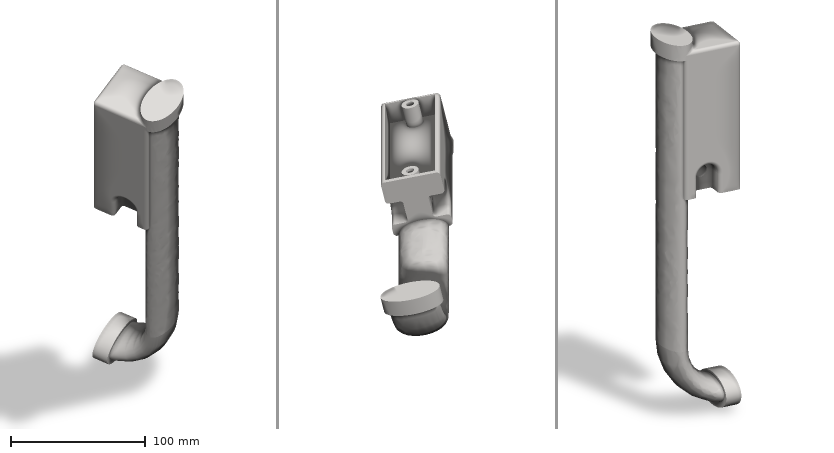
import cadquery as cq

total_height = 307.3
tube_x = 46.7
tube_half_depth = 18.7 / 2
tube_half_width = 19.0
bend_radius = 43.5

cap_half_depth = 13.2
cap_half_width = 45.2 / 2
cap_thickness = 12.5
cap_fillet_radius = 2.5
foot_z = cap_half_depth
bend_start_z = foot_z + bend_radius
cap_bottom = total_height - cap_thickness

housing_bottom = 181.3
housing_top = 301.0
housing_height = housing_top - housing_bottom
housing_width = 2 * cap_half_width
housing_depth = tube_x
edge_radius = 2.8
selection_margin = 0.3
wall = 3.7
cavity_depth = 17.0

post_radius = 6.5
post_hole_radius = 3.0
post_front_x = 0.0
post_heights = (191.7, 290.7)

recess_x = 27.7
recess_z = 197.0
recess_half_width = 9.2
recess_depth = 13.0
recess_floor_radius = 2.0
cable_hole_radius = 5.2


def make_tube():
    profile = cq.Workplane("XY", origin=(tube_x, 0, bend_start_z)).ellipse(tube_half_depth, tube_half_width)
    straight = profile.extrude(cap_bottom - bend_start_z)
    bend = (
        cq.Workplane("XY", origin=(tube_x, 0, bend_start_z))
        .ellipse(tube_half_depth, tube_half_width)
        .revolve(90, (-bend_radius, 0, 0), (-bend_radius, 1, 0))
    )
    return straight.union(bend)


def make_top_cap():
    plane = cq.Workplane("XY", origin=(tube_x, 0, cap_bottom))
    return plane.ellipse(cap_half_depth, cap_half_width).extrude(cap_thickness)


def make_foot_cap():
    plane = cq.Workplane("YZ", origin=(0, 0, foot_z))
    return plane.ellipse(cap_half_width, cap_half_depth).extrude(cap_thickness)


def make_block(bottom, top):
    """Plain block with the housing's plan between two heights."""
    plane = cq.Workplane("XY", origin=(0, 0, bottom))
    return plane.box(housing_depth, housing_width, top - bottom, centered=(False, True, False))


def make_housing():
    body = make_block(housing_bottom, housing_top)
    body = body.edges("(<X and |Z) or (>Z and (not >X))").fillet(edge_radius)
    lower = make_block(housing_bottom, cap_bottom).edges(">X and |Z").fillet(edge_radius)
    return body.intersect(lower.union(make_block(cap_bottom, housing_top)))


def join_top_cap(body):
    """Add the top cap and fillet the curved corner where it rises from the housing."""
    joined = body.union(make_top_cap())
    corner_low = (tube_x - cap_half_depth, -edge_radius, housing_top - selection_margin)
    corner_high = (tube_x - edge_radius, edge_radius, housing_top + selection_margin)
    at_joint = cq.selectors.BoxSelector(corner_low, corner_high)
    return joined.edges(at_joint).fillet(cap_fillet_radius)


def make_cavity():
    return (
        cq.Workplane("XY", origin=(0, 0, housing_bottom + wall))
        .box(cavity_depth, housing_width - 2 * wall, housing_height - 2 * wall,
             centered=(False, True, False))
    )


def make_post(height):
    plane = cq.Workplane("YZ", origin=(post_front_x, 0, height))
    return plane.circle(post_radius).circle(post_hole_radius).extrude(cavity_depth - post_front_x)


def make_recess():
    """Arch-topped recess on the -Y side, open at the housing's lower end."""
    arch = (
        cq.Workplane("XZ", origin=(recess_x, recess_depth - cap_half_width, 0))
        .moveTo(-recess_half_width, housing_bottom)
        .lineTo(-recess_half_width, recess_z)
        .threePointArc((0, recess_z + recess_half_width), (recess_half_width, recess_z))
        .lineTo(recess_half_width, housing_bottom)
        .close()
        .extrude(recess_depth)
    )
    return arch.faces(">Y").edges("not <Z").fillet(recess_floor_radius)


def round_recess_rims(body):
    """Round the recess mouths, leaving the flat lower end sharp."""
    reach = recess_half_width + edge_radius
    corner_low = (recess_x - reach, -housing_width, housing_bottom + selection_margin)
    corner_high = (recess_x + reach, housing_width, recess_z + reach)
    in_range = cq.selectors.BoxSelector(corner_low, corner_high)
    rims = body.faces("<Y or >Y").edges(in_range)
    return rims.fillet(edge_radius)


housing = join_top_cap(make_housing())
recess = make_recess()
housing = housing.cut(recess).cut(recess.mirror("XZ"))
housing = round_recess_rims(housing)
housing = housing.cut(make_cavity())
for height in post_heights:
    housing = housing.union(make_post(height))

cable_hole = (
    cq.Workplane("XZ", origin=(recess_x, housing_width, recess_z))
    .circle(cable_hole_radius)
    .extrude(2 * housing_width)
)

result = housing.cut(cable_hole).union(make_tube()).union(make_foot_cap())